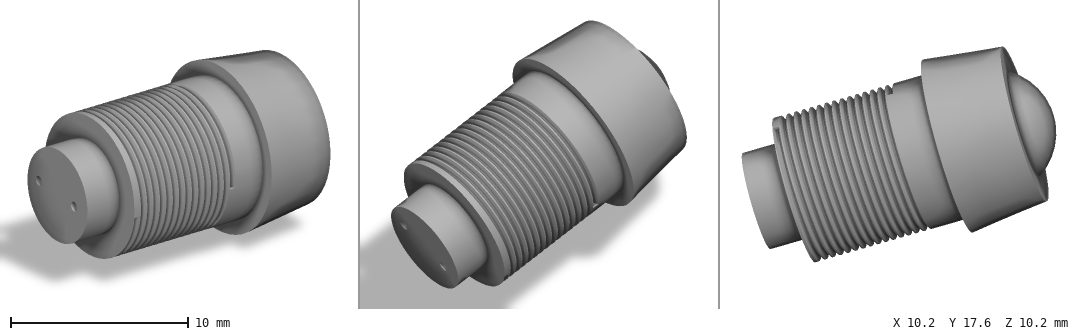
import cadquery as cq
import math

TOTAL_LENGTH = 17.56

PLUG_DIAMETER = 5.65
PLUG_LENGTH = 2.25
LEAD_HOLE_DIAMETER = 0.58
LEAD_HOLE_CENTERS = [(-1.74, 0.28), (1.56, -0.14)]

BARREL_DIAMETER = 8.5
HEAD_REAR_Y = 11.3
HEAD_FRONT_Y = 15.85
HEAD_REAR_DIAMETER = 10.18
HEAD_FRONT_DIAMETER = 9.1

THREAD_LENGTH = 6.75
THREAD_TURNS = 15
THREAD_PITCH = THREAD_LENGTH / THREAD_TURNS
THREAD_START_Y = 2.45
THREAD_START_ANGLE = 7.0
GROOVE_DEPTH = 0.25
GROOVE_MOUTH_WIDTH = 0.37
GROOVE_ROOT_WIDTH = 0.09
CUT_OVERLAP = 0.05

LENS_BASE_DIAMETER = 6.15


def make_plug():
    """Round rear plug with a lead hole through it at each position."""
    plug = cq.Workplane("XZ").circle(PLUG_DIAMETER / 2).extrude(-PLUG_LENGTH)
    holes = (
        cq.Workplane("XZ")
        .pushPoints(LEAD_HOLE_CENTERS)
        .circle(LEAD_HOLE_DIAMETER / 2)
        .extrude(-PLUG_LENGTH)
    )
    return plug.cut(holes).solids()


def make_thread_groove():
    """Helical trapezoid cutter, wound about Z and then turned onto the Y axis."""
    barrel_radius = BARREL_DIAMETER / 2
    root_radius = barrel_radius - GROOVE_DEPTH
    outer_radius = barrel_radius + CUT_OVERLAP
    flank_slope = (GROOVE_MOUTH_WIDTH - GROOVE_ROOT_WIDTH) / (2 * GROOVE_DEPTH)
    root_half = GROOVE_ROOT_WIDTH / 2
    outer_half = GROOVE_MOUTH_WIDTH / 2 + flank_slope * CUT_OVERLAP

    helix = cq.Wire.makeHelix(THREAD_PITCH, THREAD_LENGTH, barrel_radius)
    groove = (
        cq.Workplane("XZ")
        .polyline([
            (root_radius, -root_half),
            (outer_radius, -outer_half),
            (outer_radius, outer_half),
            (root_radius, root_half),
        ])
        .close()
        .sweep(cq.Workplane(obj=helix), isFrenet=True)
    )
    return (
        groove.rotate((0, 0, 0), (0, 0, 1), THREAD_START_ANGLE)
        .rotate((0, 0, 0), (1, 0, 0), -90)
        .translate((0, THREAD_START_Y, 0))
    )


def make_housing():
    """Barrel and tapered head turned from one profile, then threaded."""
    blank = (
        cq.Workplane("XY")
        .polyline([
            (0, PLUG_LENGTH),
            (BARREL_DIAMETER / 2, PLUG_LENGTH),
            (BARREL_DIAMETER / 2, HEAD_REAR_Y),
            (HEAD_REAR_DIAMETER / 2, HEAD_REAR_Y),
            (HEAD_FRONT_DIAMETER / 2, HEAD_FRONT_Y),
            (0, HEAD_FRONT_Y),
        ])
        .close()
        .revolve(360, (0, 0, 0), (0, 1, 0))
    )
    return blank.cut(make_thread_groove()).solids()


def make_lens():
    """Spherical cap that fills the length left in front of the head."""
    base_radius = LENS_BASE_DIAMETER / 2
    height = TOTAL_LENGTH - HEAD_FRONT_Y
    sphere_radius = (base_radius ** 2 + height ** 2) / (2 * height)
    center_y = TOTAL_LENGTH - sphere_radius
    mid_angle = math.atan2(HEAD_FRONT_Y - center_y, base_radius) / 2 + math.pi / 4
    arc_middle = (
        sphere_radius * math.cos(mid_angle),
        center_y + sphere_radius * math.sin(mid_angle),
    )
    return (
        cq.Workplane("XY")
        .moveTo(0, HEAD_FRONT_Y)
        .lineTo(base_radius, HEAD_FRONT_Y)
        .threePointArc(arc_middle, (0, TOTAL_LENGTH))
        .close()
        .revolve(360, (0, 0, 0), (0, 1, 0))
    )


plug = make_plug()
housing = make_housing()
lens = make_lens()

result = cq.Compound.makeCompound([plug.val(), housing.val(), lens.val()])